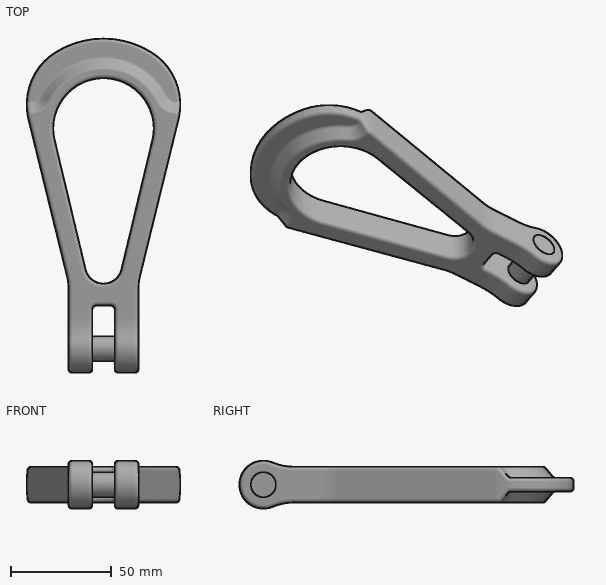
import cadquery as cq
import math


body_thickness = 18.0
flange_thickness = 7.0
edge_radius = 2.0

crown_y = 109.5
opening_top_radius = 24.9
opening_bottom_y = 41.5
opening_bottom_radius = 9.1

crown_radius = 44.7
shoulder_radius = 30.5
half_width = 38.2
neck_half_width = 17.5
neck_top_y = 30.0
neck_blend_radius = 24.9

eye_radius = 12.0
eye_blend_radius = 26.5
slot_width = 11.0
slot_end_y = 21.5
slot_corner_radius = edge_radius
pin_diameter = 12.5

step_radius = 34.7
step_corner_radius = 5.8
step_end_angle = math.radians(27)
step_taper = 40
step_overrun = 1.7

tangent_cosine = 0.999
cut_margin = 16.6


def point_at(center, radius, angle):
    """Point on a circle, with the angle in radians from +X."""
    return (center[0] + radius * math.cos(angle), center[1] + radius * math.sin(angle))


def mirrored(point):
    return (-point[0], point[1])


def outer_outline():
    """Neck, flared rails, shoulders and crown as one tangent chain, symmetric about X = 0."""
    crown = (0, crown_y)
    shoulder_x = half_width - shoulder_radius
    center_gap = crown_radius - shoulder_radius
    shoulder = (shoulder_x, crown_y + math.sqrt(center_gap**2 - shoulder_x**2))
    blend = (neck_half_width + neck_blend_radius, neck_top_y)

    dx = blend[0] - shoulder[0]
    dy = blend[1] - shoulder[1]
    reach = (shoulder_radius + neck_blend_radius) / math.hypot(dx, dy)
    rail_angle = math.atan2(dy, dx) + math.acos(reach)
    crown_angle = math.atan2(shoulder[1] - crown_y, shoulder_x)

    neck_bottom = (neck_half_width, -eye_radius)
    neck_top = (neck_half_width, neck_top_y)
    blend_mid = point_at(blend, neck_blend_radius, math.pi + rail_angle / 2)
    rail_bottom = point_at(blend, neck_blend_radius, math.pi + rail_angle)
    rail_top = point_at(shoulder, shoulder_radius, rail_angle)
    shoulder_mid = point_at(shoulder, shoulder_radius, (rail_angle + crown_angle) / 2)
    crown_end = point_at(crown, crown_radius, crown_angle)

    return (
        cq.Workplane("XY")
        .moveTo(*neck_bottom)
        .lineTo(*neck_top)
        .threePointArc(blend_mid, rail_bottom)
        .lineTo(*rail_top)
        .threePointArc(shoulder_mid, crown_end)
        .threePointArc((0, crown_y + crown_radius), mirrored(crown_end))
        .threePointArc(mirrored(shoulder_mid), mirrored(rail_top))
        .lineTo(*mirrored(rail_bottom))
        .threePointArc(mirrored(blend_mid), mirrored(neck_top))
        .lineTo(*mirrored(neck_bottom))
        .close()
    )


def side_profile():
    """Flat body sweeping up into the round eye, as a solid spanning the full width."""
    half = body_thickness / 2
    blend_z = half + eye_blend_radius
    blend_y = math.sqrt((eye_radius + eye_blend_radius)**2 - blend_z**2)
    eye_angle = math.atan2(blend_z, blend_y)
    eye_end = point_at((0, 0), eye_radius, eye_angle)
    mid_angle = (eye_angle - math.pi - math.pi / 2) / 2
    blend_mid = point_at((blend_y, blend_z), eye_blend_radius, mid_angle)
    far_y = crown_y + crown_radius + cut_margin

    return (
        cq.Workplane("YZ")
        .moveTo(far_y, half)
        .lineTo(blend_y, half)
        .threePointArc(blend_mid, eye_end)
        .threePointArc((-eye_radius, 0), (eye_end[0], -eye_end[1]))
        .threePointArc((blend_mid[0], -blend_mid[1]), (blend_y, -half))
        .lineTo(far_y, -half)
        .close()
        .extrude(half_width + cut_margin, both=True)
    )


def opening():
    """Teardrop hole: two round ends joined by their outer tangents."""
    top = (0, crown_y)
    bottom = (0, opening_bottom_y)
    lean = -math.asin((opening_top_radius - opening_bottom_radius) / (crown_y - opening_bottom_y))
    top_end = point_at(top, opening_top_radius, lean)
    bottom_end = point_at(bottom, opening_bottom_radius, lean)
    return (
        cq.Workplane("XY")
        .moveTo(*bottom_end)
        .lineTo(*top_end)
        .threePointArc((0, crown_y + opening_top_radius), mirrored(top_end))
        .lineTo(*mirrored(bottom_end))
        .threePointArc((0, opening_bottom_y - opening_bottom_radius), bottom_end)
        .close()
        .extrude(body_thickness, both=True)
    )


def clevis_slot():
    """Slot between the two eyes, open toward -Y, with rounded inner corners."""
    slot_start_y = -eye_radius - cut_margin
    return (
        cq.Workplane("XY")
        .center(0, (slot_start_y + slot_end_y) / 2)
        .rect(slot_width, slot_end_y - slot_start_y)
        .extrude(eye_radius + cut_margin, both=True)
        .edges("|Z and >Y")
        .fillet(slot_corner_radius)
    )


def flange_step():
    """Tapered cutter above the flange: a wall around the crown that bends out to both sides."""
    crown = (0, crown_y)
    corner = point_at(crown, step_radius + step_corner_radius, step_end_angle)
    wall_end = point_at(crown, step_radius, step_end_angle)
    bend_angle = (math.pi + step_end_angle + 3 * math.pi / 2) / 2
    bend_mid = point_at(corner, step_corner_radius, bend_angle)
    bend_end = (corner[0], corner[1] - step_corner_radius)
    far = (half_width + cut_margin, crown_y + crown_radius + cut_margin)
    side_end = (far[0], bend_end[1])

    return (
        cq.Workplane("XY")
        .workplane(offset=flange_thickness / 2)
        .moveTo(*side_end)
        .lineTo(*bend_end)
        .threePointArc(bend_mid, wall_end)
        .threePointArc((0, crown_y + step_radius), mirrored(wall_end))
        .threePointArc(mirrored(bend_mid), mirrored(bend_end))
        .lineTo(*mirrored(side_end))
        .lineTo(*mirrored(far))
        .lineTo(*far)
        .close()
        .extrude((body_thickness - flange_thickness) / 2 + step_overrun, taper=-step_taper)
    )


def pin_cylinder():
    """Pin ending flush with both outer eye faces; the same shape bores its hole."""
    return (
        cq.Workplane("YZ", origin=(-neck_half_width, 0, 0))
        .circle(pin_diameter / 2)
        .extrude(2 * neck_half_width)
    )


def sharp_edges(body):
    """Edges whose two faces meet at an angle, leaving out the seams between tangent faces."""
    faces = body.Faces()
    found = []
    for edge in body.Edges():
        middle = edge.positionAt(0.5)
        normals = [
            face.normalAt(middle)
            for face in faces
            if any(edge.isSame(other) for other in face.Edges())
        ]
        if len(normals) == 2 and normals[0].dot(normals[1]) < tangent_cosine:
            found.append(edge)
    return found


def make_shackle():
    """Flat teardrop with a clevis at one end and a thin crown flange at the other."""
    body = outer_outline().extrude(eye_radius, both=True).intersect(side_profile())
    body = body.cut(opening()).cut(clevis_slot())
    step = flange_step()
    body = body.cut(step).cut(step.mirror("XY")).solids().val()
    rounded = body.fillet(edge_radius, sharp_edges(body))
    return cq.Workplane(rounded).cut(pin_cylinder())


shackle = make_shackle()
pin = pin_cylinder()

result = cq.Compound.makeCompound([shackle.solids().val(), pin.val()])